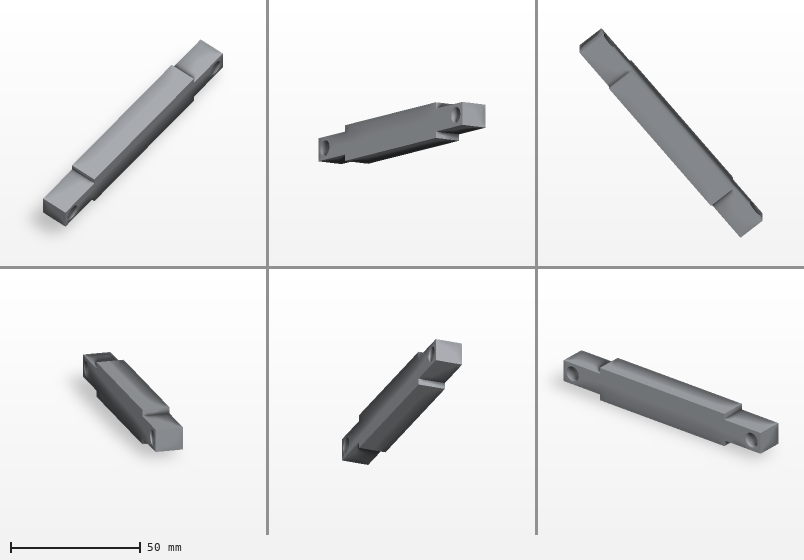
import cadquery as cq

width = 11.0
length = 97.9
body_height = 14.0

body_length = 61.9
tab_height = 9.0

hole_diameter = 6.2
hole_spacing = 89.0

body = cq.Workplane("XY").box(width, body_length, body_height)
tabs = cq.Workplane("XY").box(width, length, tab_height)

holes = (
    cq.Workplane("YZ")
    .pushPoints([(-hole_spacing / 2, 0), (hole_spacing / 2, 0)])
    .circle(hole_diameter / 2)
    .extrude(width, both=True)
)

result = body.union(tabs).cut(holes)